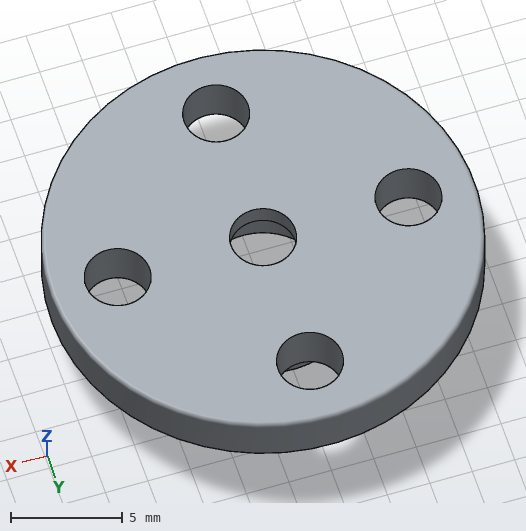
import cadquery as cq

flange_diameter = 19.9
flange_thickness = 2.5

boss_diameter = 9.0
boss_height = 2.0

hole_diameter = 3.0
ring_hole_count = 4
ring_radius = 6.85

counterbore_diameter = 6.0
web_thickness = 1.0

rim_radius = 0.2

overall_height = flange_thickness + boss_height
counterbore_depth = overall_height - web_thickness


def make_flange():
    """Disc resting on the XY plane, with both rims rounded."""
    disc = cq.Workplane("XY").circle(flange_diameter / 2).extrude(flange_thickness)
    return disc.edges().fillet(rim_radius)


def make_boss():
    """Boss hanging below the flange, with its free rim rounded."""
    boss = cq.Workplane("XY").circle(boss_diameter / 2).extrude(-boss_height)
    return boss.faces("<Z").edges().fillet(rim_radius)


def make_holes():
    """Cutting cylinders for the stepped central bore and the ring of through holes."""
    base = cq.Workplane("XY").workplane(offset=-boss_height)
    bore = base.circle(hole_diameter / 2).extrude(overall_height)
    counterbore = base.circle(counterbore_diameter / 2).extrude(counterbore_depth)
    ring = (
        base.polarArray(ring_radius, 0, 360, ring_hole_count)
        .circle(hole_diameter / 2)
        .extrude(overall_height)
    )
    return bore.union(counterbore).union(ring)


result = make_flange().union(make_boss()).cut(make_holes())